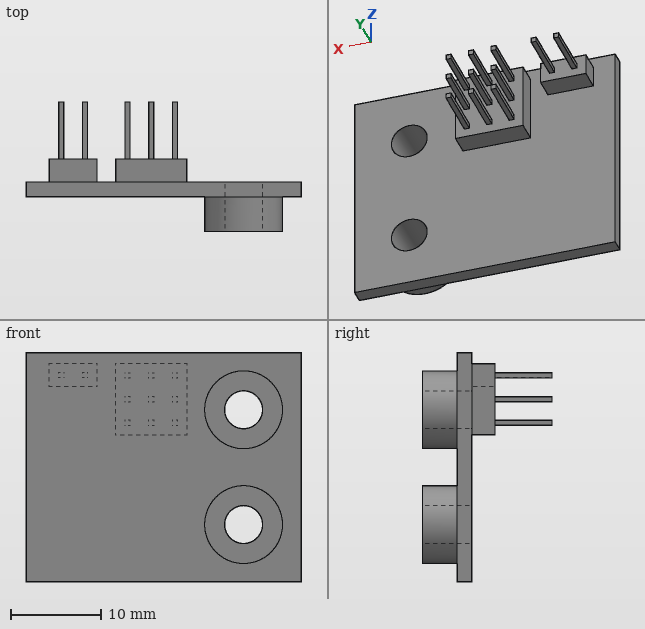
import cadquery as cq

board_width = 30.48
board_height = 25.4
board_thickness = 1.65

boss_diameter = 8.63
bore_diameter = 4.18
boss_length = 3.85
boss_x = 24.08
boss_spacing = 12.7

header_depth = 2.55
header_top_gap = 1.22
pin_side = 0.58
pin_length = 6.3
pin_pitch = 2.62

small_header_left = 2.55
small_header_width = 5.3
small_header_height = 2.53

large_header_left = 9.9
large_header_side = 7.9


def block(left, width, bottom, height, start_y, depth):
    """Box given by its lower left corner, extending from start_y toward +Y."""
    return cq.Workplane("XY").box(width, depth, height, centered=False).translate((left, start_y, bottom))


def boss_cylinders(diameter, start_y, length):
    """Pair of cylinders on the boss axes, extending from start_y toward -Y."""
    middle = board_height / 2
    centers = [(boss_x, middle - boss_spacing / 2), (boss_x, middle + boss_spacing / 2)]
    plane = cq.Workplane("XZ", origin=(0, start_y, 0))
    return plane.pushPoints(centers).circle(diameter / 2).extrude(length)


def pin_header(left, width, height, columns, rows):
    """Header body with a centered grid of square pins on its back face."""
    bottom = board_height - header_top_gap - height
    header = block(left, width, bottom, height, board_thickness, header_depth)
    first_x = left + width / 2 - (columns - 1) * pin_pitch / 2
    first_z = bottom + height / 2 - (rows - 1) * pin_pitch / 2
    pin_start = board_thickness + header_depth
    for column in range(columns):
        for row in range(rows):
            pin_left = first_x + column * pin_pitch - pin_side / 2
            pin_bottom = first_z + row * pin_pitch - pin_side / 2
            pin = block(pin_left, pin_side, pin_bottom, pin_side, pin_start, pin_length)
            header = header.union(pin)
    return header


board = block(0, board_width, 0, board_height, 0, board_thickness)
bosses = boss_cylinders(boss_diameter, 0, boss_length)
bores = boss_cylinders(bore_diameter, board_thickness, board_thickness + boss_length)
small_header = pin_header(small_header_left, small_header_width, small_header_height, columns=2, rows=1)
large_header = pin_header(large_header_left, large_header_side, large_header_side, columns=3, rows=3)

result = board.union(bosses).cut(bores).union(small_header).union(large_header)